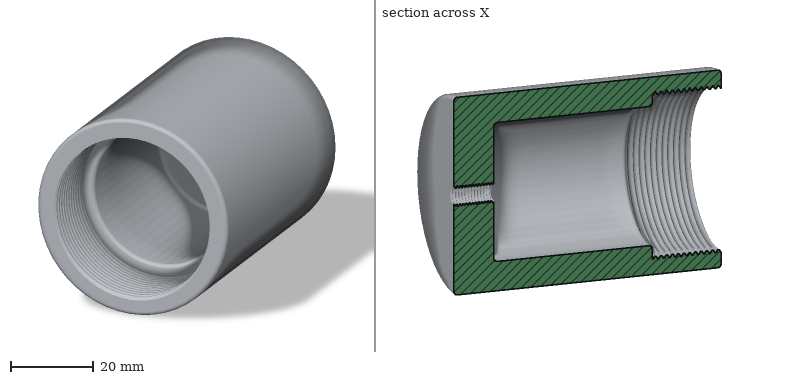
import cadquery as cq

length = 69.95
outer_diameter = 50.0
outer_radius = outer_diameter / 2
edge_radius = 1.0

mouth_radius = 20.3
mouth_depth = 18.0
cavity_radius = 17.5
cavity_depth = 59.45
cavity_fillet = 1.0

thread_turns = 12
thread_pitch = mouth_depth / thread_turns
thread_height = 0.85
thread_start_angle = -90.0

tap_radius = 1.95
floor_thickness = length - cavity_depth
tap_turns = 13
tap_pitch = floor_thickness / tap_turns
tap_height = 0.55
tap_start_angle = 40.0

flank_fraction = 0.75
overlap = 0.1


def cylinder(radius, start, depth):
    """Cylinder along +Y from the given Y position."""
    plane = cq.Workplane("XZ", origin=(0, start, 0))
    return plane.circle(radius).extrude(-depth)


def thread_groove(bore_radius, pitch, height, start, depth, start_angle):
    """Helical V groove cutter along +Y, trimmed to the depth of its bore."""
    inner_radius = bore_radius - overlap
    half_width = flank_fraction * pitch / 2 * (1 + overlap / height)
    path = cq.Wire.makeHelix(pitch, depth + 2 * pitch, inner_radius)
    profile = (
        cq.Workplane("XZ")
        .moveTo(inner_radius, -half_width)
        .lineTo(bore_radius + height, 0)
        .lineTo(inner_radius, half_width)
        .close()
    )
    groove = profile.sweep(cq.Workplane(path), isFrenet=True)
    groove = (
        groove.rotate((0, 0, 0), (0, 0, 1), -start_angle)
        .rotate((0, 0, 0), (1, 0, 0), -90)
        .translate((0, start - pitch, 0))
    )
    return groove.intersect(cylinder(bore_radius + 2 * height, start, depth))


body = cylinder(outer_radius, 0, length).edges().fillet(edge_radius)

cavity = cylinder(cavity_radius, 0, cavity_depth).faces(">Y").edges().fillet(cavity_fillet)
body = body.cut(cavity)
body = body.cut(cylinder(mouth_radius, 0, mouth_depth))
step_edge = cq.selectors.BoxSelector(
    (-outer_radius, mouth_depth - overlap, -outer_radius),
    (outer_radius, mouth_depth + overlap, outer_radius),
    boundingbox=True,
)
body = body.edges(step_edge).edges(cq.selectors.RadiusNthSelector(0)).fillet(cavity_fillet)

body = body.cut(cylinder(tap_radius, cavity_depth, floor_thickness))

body = body.cut(
    thread_groove(mouth_radius, thread_pitch, thread_height, 0, mouth_depth, thread_start_angle)
)
body = body.cut(
    thread_groove(tap_radius, tap_pitch, tap_height, cavity_depth, floor_thickness, tap_start_angle)
)

result = body